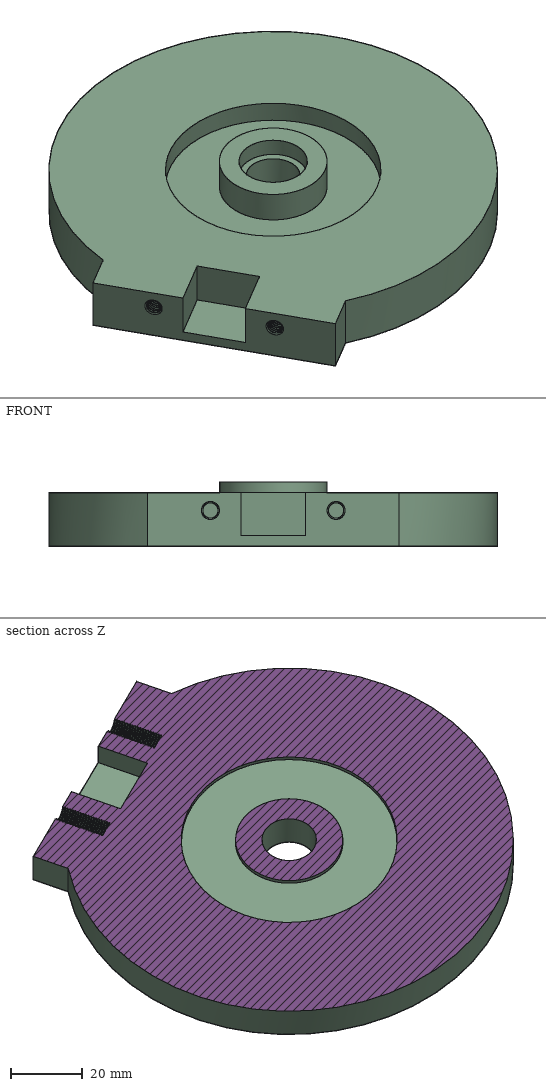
import cadquery as cq

disc_diameter = 125.0
disc_thickness = 15.0
tab_width = 70.0

recess_diameter = 60.0
recess_depth = 6.0
hub_diameter = 30.0
hub_rise = 3.0
bore_diameter = 15.0
seat_diameter = 19.0
seat_depth = 5.0

notch_width = 18.0
notch_length = 15.0
notch_floor = 3.0

screw_spacing = 35.0
screw_height = 10.0
thread_minor_diameter = 4.2
thread_major_diameter = 5.0
thread_pitch = 0.8
thread_turns = 18
root_flat = thread_pitch / 8
crest_flat = thread_pitch / 4
thread_flank = (thread_pitch - root_flat - crest_flat) / 2

disc_radius = disc_diameter / 2
hub_top = disc_thickness + hub_rise
recess_floor = disc_thickness - recess_depth


def cylinder(diameter, bottom, top):
    """Upright cylinder on the disc axis."""
    return cq.Workplane("XY").workplane(offset=bottom).circle(diameter / 2).extrude(top - bottom)


def tab_box(width, length, bottom):
    """Block reaching inward from the tab face, up to the disc top."""
    return (
        cq.Workplane("XY")
        .box(width, length, disc_thickness - bottom, centered=(True, False, False))
        .translate((0, -disc_radius, bottom))
    )


def threaded_hole(x):
    """Blind hole in the tab face with one ring-shaped groove for each thread turn."""
    minor_radius = thread_minor_diameter / 2
    major_radius = thread_major_diameter / 2
    profile = [(0, 0), (major_radius, 0)]
    for turn in range(thread_turns):
        start = turn * thread_pitch
        crest_start = start + thread_flank
        root_start = start + thread_pitch - root_flat
        profile.append((minor_radius, crest_start))
        profile.append((minor_radius, crest_start + crest_flat))
        profile.append((major_radius, root_start))
        profile.append((major_radius, start + thread_pitch))
    profile.append((0, thread_turns * thread_pitch))
    return (
        cq.Workplane("XY")
        .polyline(profile)
        .close()
        .revolve(360, (0, 0, 0), (0, 1, 0))
        .translate((x, -disc_radius, screw_height))
    )


body = cylinder(disc_diameter, 0, disc_thickness)
body = body.union(tab_box(tab_width, disc_radius, 0))

body = body.cut(cylinder(recess_diameter, recess_floor, disc_thickness))
body = body.union(cylinder(hub_diameter, recess_floor, hub_top))

body = body.cut(cylinder(bore_diameter, 0, hub_top))
body = body.cut(cylinder(seat_diameter, hub_top - seat_depth, hub_top))

body = body.cut(tab_box(notch_width, notch_length, notch_floor))
for side in (-1, 1):
    body = body.cut(threaded_hole(side * screw_spacing / 2))

result = body